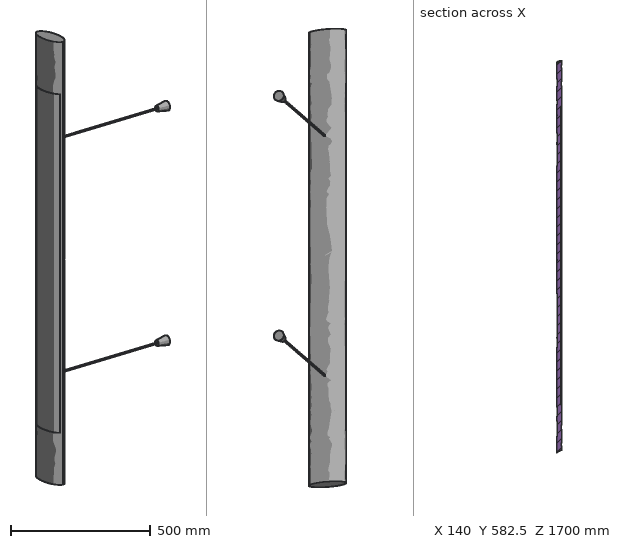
import cadquery as cq

column_width = 140.0
column_depth = 65.0
column_height = 1700.0

panel_width = 130.5
panel_end_margin = 200.0
panel_recess = 2.0

wall_distance = 550.0
mount_inset = 400.0
rod_diameter = 6.0
foot_length = 46.0
foot_wall_diameter = 38.0
foot_rod_diameter = 22.0


def elliptical_prism(inset):
    """Full-height prism of the column's ellipse with both radii reduced by the inset.

    The side is split into a front and a back face.
    """
    x_radius = column_width / 2 - inset
    y_radius = column_depth / 2 - inset
    return (
        cq.Workplane("XY")
        .moveTo(x_radius, 0)
        .ellipseArc(x_radius, y_radius, 0, 180)
        .ellipseArc(x_radius, y_radius, 180, 360)
        .close()
        .extrude(column_height)
    )


def panel_cutter():
    """Material in front of the panel: a box outside the inset ellipse, on the -Y side only."""
    panel_height = column_height - 2 * panel_end_margin
    front_box = (
        cq.Workplane("XY", origin=(0, -column_depth / 2, panel_end_margin))
        .rect(panel_width, column_depth)
        .extrude(panel_height)
    )
    return front_box.cut(elliptical_prism(panel_recess))


def wall_mount(z):
    """Rod running back from the column's middle, and the foot that widens to the wall."""
    rod = (
        cq.Workplane("XZ", origin=(0, 0, z))
        .circle(rod_diameter / 2)
        .extrude(-wall_distance)
    )
    foot = (
        cq.Workplane("XZ", origin=(0, wall_distance, z))
        .circle(foot_wall_diameter / 2)
        .workplane(offset=foot_length)
        .circle(foot_rod_diameter / 2)
        .loft(ruled=True)
    )
    return rod.union(foot)


result = elliptical_prism(inset=0).cut(panel_cutter())
for mount_height in (mount_inset, column_height - mount_inset):
    result = result.union(wall_mount(mount_height))